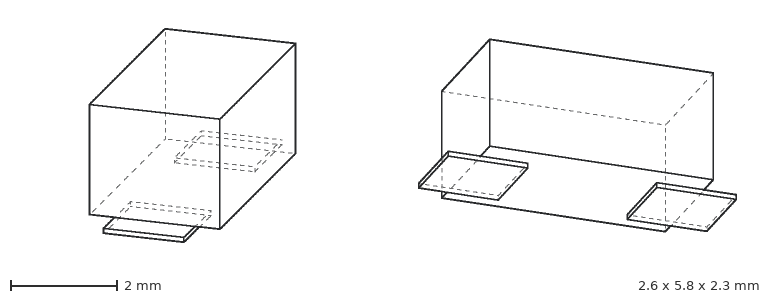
import cadquery as cq

overall_length = 5.8
overall_height = 2.3
housing_width = 2.6
housing_length = 4.5
lead_side = 1.6
lead_thickness = 0.1

housing_height = overall_height - lead_thickness
lead_center_y = (overall_length - lead_side) / 2


def make_housing():
    """Plain rectangular block resting on top of the two leads."""
    return (
        cq.Workplane("XY")
        .workplane(offset=lead_thickness)
        .rect(housing_width, housing_length)
        .extrude(housing_height)
    )


def make_lead(end):
    """Flat square lead under one end of the housing; end is -1 or +1 along Y."""
    return (
        cq.Workplane("XY")
        .center(0, end * lead_center_y)
        .rect(lead_side, lead_side)
        .extrude(lead_thickness)
    )


housing = make_housing()
leads = [make_lead(end) for end in (-1, 1)]

result = cq.Compound.makeCompound([housing.val(), *[lead.val() for lead in leads]])